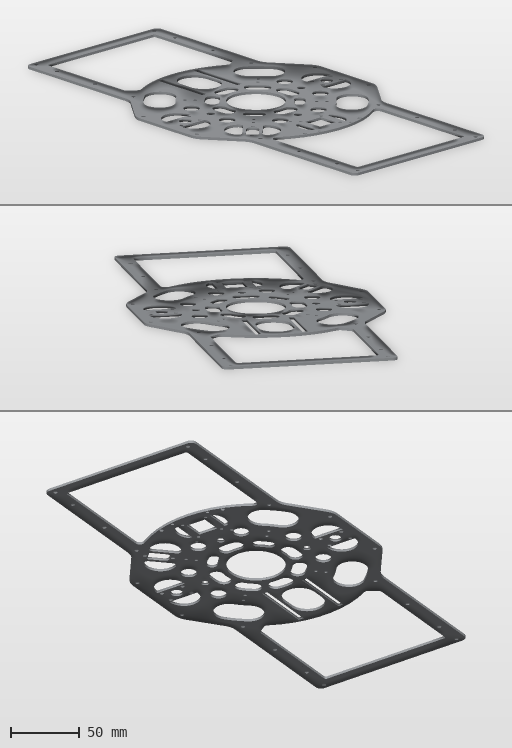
import cadquery as cq
import math

length = 350.0
width = 180.0
thickness = 2.0
rail_width = 131.0
hub_flat_half = 31.5
hub_foot_half = 63.7
hub_round = 14.0
rail_corner_round = 4.5

hub_radius = 87.5
window_half_height = 53.2
window_outer_x = 165.0
window_corner_round = 1.8
right_inner_round = 3.5
window_overlap = 3.5
left_inner_round = 3.0
left_bevel_start = (81.5, window_half_height)
left_bevel_end = (75.2, 44.0)

bolt_hole = 3.0
small_bolt_hole = 2.5
dowel_hole = 6.0
motor_shaft_hole = 9.0
lightening_hole = 12.0
center_hole = 43.5

slot_ring_radius = 32.0
wide_slot = (11.0, 9.0)
narrow_slot = (8.0, 8.5)

pocket_ring_radius = 70.0
diagonal_pocket = (23.0, 14.5)
mount_pocket = (24.0, 17.0)
oval_radius = 60.2
oval_length = 35.7
oval_width = 26.2

strap_x = 59.5
strap_y = 17.5
strap_length = 46.2
strap_width = 4.2

motor_bar_width = 15.8
motor_bolt_half_x = 5.5
motor_bolt_half_y = 9.0

square_x = 68.5
square_size = 15.8
square_bar_half = 14.5
segment_width = 18.0
segment_x = 69.5
square_bolt_offsets = (10.0, 15.5)
square_side_bolt = (81.2, 27.0)

diagonal_mount_angle = -45
diagonal_mount_radius = 69.3
diagonal_bar_half = 7.5
diagonal_corner_round = 3.0
selection_margin = 0.5
inner_slot_start = 63.5
inner_slot_end = 79.5
inner_slot_width = 9.5
inner_slot_round = 3.5
diagonal_bolt_radii = (61.2, 82.0)

rail_hole_y = 58.5
rail_hole_x = (67.5, 108.5, 148.8, 170.8)
hub_end_hole = (28.5, 85.0)
diagonal_hole_offsets = (31.0, 36.5)
lightening_near = 19.0
lightening_far = 46.2
dowel_ring_radius = 44.8

SIGNS = (1, -1)
QUADRANTS = [(sx, sy) for sx in SIGNS for sy in SIGNS]


def polygon(points):
    return cq.Workplane("XY").polyline(points).close().extrude(thickness)


def block(x_size, y_size, x, y):
    return cq.Workplane("XY").center(x, y).rect(x_size, y_size).extrude(thickness)


def holes(points, diameter):
    return cq.Workplane("XY").pushPoints(points).circle(diameter / 2).extrude(thickness)


def mirrored(x, y):
    """The four points that mirror (x, y) about both axes."""
    return [(sx * x, sy * y) for sx, sy in QUADRANTS]


def rounded(shape, x_min, x_max, y_half, radius):
    """Round the upright edges lying between two X positions and within y_half of the X axis."""
    zone = cq.selectors.BoxSelector((x_min, -y_half, 0), (x_max, y_half, thickness))
    return shape.edges("|Z").edges(zone).fillet(radius)


def turned(shape, angle):
    return shape.rotate((0, 0, 0), (0, 0, 1), angle)


def curved_slot(radius, size, angle=0):
    """Round-ended slot following a circle about the origin, centered at the given angle."""
    slot_width, end_distance = size
    half_angle = math.asin(end_distance / 2 / radius)

    def at(r, a):
        return (r * math.cos(a), r * math.sin(a))

    inner = radius - slot_width / 2
    outer = radius + slot_width / 2
    cap_center = at(radius, half_angle)
    cap_x = cap_center[0] - slot_width / 2 * math.sin(half_angle)
    cap_y = cap_center[1] + slot_width / 2 * math.cos(half_angle)
    slot = (
        cq.Workplane("XY")
        .moveTo(*at(inner, -half_angle))
        .threePointArc(at(inner, 0), at(inner, half_angle))
        .threePointArc((cap_x, cap_y), at(outer, half_angle))
        .threePointArc(at(outer, 0), at(outer, -half_angle))
        .threePointArc((cap_x, -cap_y), at(inner, -half_angle))
        .close()
        .extrude(thickness)
    )
    return turned(slot, angle)


def make_outline():
    half_width = width / 2
    hub = polygon([
        (-hub_flat_half, half_width),
        (hub_flat_half, half_width),
        (hub_foot_half, rail_width / 2),
        (hub_foot_half, -rail_width / 2),
        (hub_flat_half, -half_width),
        (-hub_flat_half, -half_width),
        (-hub_foot_half, -rail_width / 2),
        (-hub_foot_half, rail_width / 2),
    ])
    body = block(length, rail_width, 0, 0).union(hub)
    body = rounded(body, -length / 4, length / 4, width, hub_round)
    return body.edges("|Z and (<X or >X)").fillet(rail_corner_round)


def finish_window(blank, inner_round):
    """Trim a window blank on the +X side along the hub circle and round its corners."""
    window = blank.cut(cq.Workplane("XY").circle(hub_radius).extrude(thickness))
    window = window.edges("|Z and >X").fillet(window_corner_round)
    return rounded(window, 0, hub_radius, width, inner_round)


def right_window():
    inner_x = math.sqrt(hub_radius**2 - window_half_height**2) - window_overlap
    span = window_outer_x - inner_x
    return finish_window(block(span, 2 * window_half_height, inner_x + span / 2, 0), right_inner_round)


def left_window():
    upper = [(window_outer_x, window_half_height), left_bevel_start, left_bevel_end]
    lower = [(x, -y) for x, y in reversed(upper)]
    return finish_window(polygon(upper + lower), left_inner_round).mirror("YZ")


def motor_mount(angle):
    """Opening split by a radial bar that carries a shaft hole and four bolts."""
    bar = block(2 * pocket_ring_radius, motor_bar_width, pocket_ring_radius, 0)
    bolts = [
        (pocket_ring_radius + y, x) for x, y in mirrored(motor_bolt_half_x, motor_bolt_half_y)
    ]
    mount = (
        curved_slot(pocket_ring_radius, mount_pocket)
        .cut(bar)
        .union(holes([(pocket_ring_radius, 0)], motor_shaft_hole))
        .union(holes(bolts, bolt_hole))
    )
    return turned(mount, angle)


def square_mount():
    """Square opening between two round segments, with eight bolts along its diagonals."""
    frame = block(2 * square_bar_half, 2 * square_bar_half, segment_x, 0)
    segments = (
        curved_slot(pocket_ring_radius, mount_pocket)
        .intersect(block(segment_width, width, segment_x, 0))
        .cut(frame)
    )
    bolts = [
        (square_x + x, y) for offset in square_bolt_offsets for x, y in mirrored(offset, offset)
    ]
    side_x, side_y = square_side_bolt
    return (
        segments
        .union(block(square_size, square_size, square_x, 0))
        .union(holes(bolts, small_bolt_hole))
        .union(holes([(side_x, side_y), (side_x, -side_y)], bolt_hole))
    )


def diagonal_mount():
    """Opening split by two thin radial bars, with a slot between them and a bolt at each end."""
    bars = block(2 * pocket_ring_radius, 2 * diagonal_bar_half, pocket_ring_radius, 0)
    sides = curved_slot(diagonal_mount_radius, mount_pocket).cut(bars)
    sides = rounded(sides, 0, length, diagonal_bar_half + selection_margin, diagonal_corner_round)
    inner_length = inner_slot_end - inner_slot_start
    inner_slot = (
        block(inner_length, inner_slot_width, inner_slot_start + inner_length / 2, 0)
        .edges("|Z and <X")
        .fillet(inner_slot_round)
    )
    bolts = holes([(r, 0) for r in diagonal_bolt_radii], bolt_hole)
    return turned(sides.union(inner_slot).union(bolts), diagonal_mount_angle)


def left_openings():
    oval = cq.Workplane("XY").center(-oval_radius, 0).slot2D(oval_length, oval_width).extrude(thickness)
    for side in SIGNS:
        oval = oval.union(block(strap_length, strap_width, -strap_x, side * strap_y))
    return oval


plate = make_outline().cut(right_window()).cut(left_window())

for slot_angle in range(0, 360, 45):
    slot_size = narrow_slot if slot_angle in (45, 315) else wide_slot
    plate = plate.cut(curved_slot(slot_ring_radius, slot_size, slot_angle))

for pocket_angle in (45, 135, 225):
    plate = plate.cut(curved_slot(pocket_ring_radius, diagonal_pocket, pocket_angle))

plate = plate.cut(left_openings()).cut(square_mount()).cut(diagonal_mount())
plate = plate.cut(motor_mount(90)).cut(motor_mount(-90))

bolt_points = mirrored(*hub_end_hole)
for hole_x in rail_hole_x:
    bolt_points += mirrored(hole_x, rail_hole_y)
diagonal_points = [p for offset in diagonal_hole_offsets for p in mirrored(offset, offset)]
lightening_points = mirrored(lightening_near, lightening_far)
lightening_points += [(lightening_far, side * lightening_near) for side in SIGNS]
dowel_points = [(0, dowel_ring_radius), (0, -dowel_ring_radius), (dowel_ring_radius, 0)]

plate = plate.cut(holes([(0, 0)], center_hole))
plate = plate.cut(holes(bolt_points, bolt_hole))
plate = plate.cut(holes(diagonal_points, small_bolt_hole))
plate = plate.cut(holes(lightening_points, lightening_hole))
plate = plate.cut(holes(dowel_points, dowel_hole))

result = plate